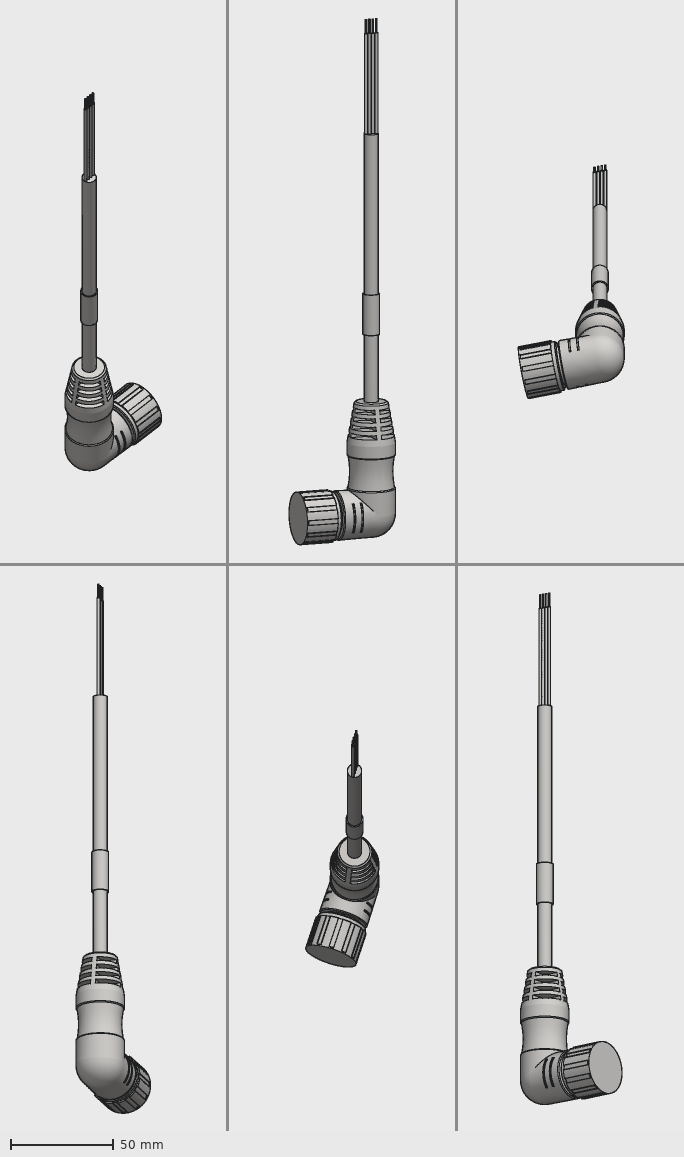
import cadquery as cq


ELBOW_RADIUS = 12.0
ELBOW_END_Y = 18.5
ELBOW_END_RADIUS = 12.2
ELBOW_END_CHAMFER = 0.5
NECK_RADIUS = 9.3

SIDE_GROOVE_POSITIONS_Y = (8.8, 13.0)
SIDE_GROOVE_WIDTH = 0.8
SIDE_GROOVE_FLOOR_RADIUS = 11.7
SIDE_GROOVE_HEIGHT = 14.5

WAIST_BOTTOM_Z = 12.5
WAIST_TOP_Z = 29.3
WAIST_RADIUS = 10.5
WAIST_EDGE_RADIUS = 11.5
WAIST_EDGE_HEIGHT = 0.5
CONE_BOTTOM_Z = 35.2
CONE_TOP_Z = 55.7
CONE_TOP_RADIUS = 8.3
CONE_CHAMFER = 0.8

SLOT_COUNT = 4
LOWEST_SLOT_Z = 38.5
HIGHEST_SLOT_Z = 50.8
SLOT_PITCH = (HIGHEST_SLOT_Z - LOWEST_SLOT_Z) / (SLOT_COUNT - 1)
SLOT_HEIGHT = 2.0
CROSS_RIB_WIDTH = 2.5

CABLE_DIAMETER = 7.0
CABLE_RADIUS = CABLE_DIAMETER / 2
CABLE_END_Z = 189.0
SLEEVE_RADIUS = 4.1
SLEEVE_BOTTOM_Z = 89.0
SLEEVE_TOP_Z = 109.3
WIRE_COUNT = 4
WIRE_PITCH = 1.8
WIRE_RADIUS = 0.8
WIRE_END_Z = 239.0
CONDUCTOR_RADIUS = 0.4
CONDUCTOR_END_Z = 246.0

NUT_BACK_Y = 19.7
NUT_GRIP_Y = 22.0
NUT_FRONT_Y = 38.0
NUT_RADIUS = 13.0
NUT_RING_RADIUS = 12.2
NUT_CHAMFER = 0.5
FLUTE_COUNT = 12
FLUTE_WIDTH = 2.3
FLUTE_DEPTH = 0.5
FLUTE_END_GAP = 0.8


def cylinder_z(radius, bottom, top, y=0):
    """Upright cylinder centred on X = 0."""
    return cq.Workplane("XY", origin=(0, y, bottom)).circle(radius).extrude(top - bottom)


def cylinder_y(radius, start, end):
    """Cylinder on the Y axis from start to end."""
    return cq.Workplane("XZ", origin=(0, start, 0)).circle(radius).extrude(start - end)


def cone_radius(z):
    """Outer radius of the strain relief at height z."""
    share = (z - CONE_BOTTOM_Z) / (CONE_TOP_Z - CONE_BOTTOM_Z)
    return ELBOW_RADIUS + share * (CONE_TOP_RADIUS - ELBOW_RADIUS)


def make_elbow_arm():
    """Arm of the elbow towards the nut, widening slightly up to its chamfered end."""
    return (
        cq.Workplane("XY")
        .lineTo(ELBOW_RADIUS, 0)
        .lineTo(ELBOW_END_RADIUS, ELBOW_END_Y - ELBOW_END_CHAMFER)
        .lineTo(ELBOW_END_RADIUS - ELBOW_END_CHAMFER, ELBOW_END_Y)
        .lineTo(0, ELBOW_END_Y)
        .close()
        .revolve(360, (0, 0), (0, 1))
    )


def make_grip():
    """Upright part of the housing: plain elbow end, concave waist, band and tapered strain relief."""
    waist_middle_z = (WAIST_BOTTOM_Z + WAIST_TOP_Z) / 2
    chamfer_z = CONE_TOP_Z - CONE_CHAMFER
    return (
        cq.Workplane("YZ")
        .lineTo(-ELBOW_RADIUS, 0)
        .lineTo(-ELBOW_RADIUS, WAIST_BOTTOM_Z)
        .lineTo(-WAIST_EDGE_RADIUS, WAIST_BOTTOM_Z + WAIST_EDGE_HEIGHT)
        .threePointArc(
            (-WAIST_RADIUS, waist_middle_z),
            (-WAIST_EDGE_RADIUS, WAIST_TOP_Z - WAIST_EDGE_HEIGHT),
        )
        .lineTo(-ELBOW_RADIUS, WAIST_TOP_Z)
        .lineTo(-ELBOW_RADIUS, CONE_BOTTOM_Z)
        .lineTo(-cone_radius(chamfer_z), chamfer_z)
        .lineTo(CONE_CHAMFER - CONE_TOP_RADIUS, CONE_TOP_Z)
        .lineTo(0, CONE_TOP_Z)
        .close()
        .revolve(360, (0, 0), (0, 1))
    )


def make_slot(bottom):
    """Quarter slots at one height: a ring around the strain relief, interrupted by the cross ribs."""
    ring = (
        cq.Workplane("XY", origin=(0, 0, bottom))
        .circle(2 * ELBOW_RADIUS)
        .circle(CABLE_RADIUS)
        .extrude(SLOT_HEIGHT)
    )
    rib_length = 4 * ELBOW_RADIUS
    base = cq.Workplane("XY", origin=(0, 0, bottom))
    rib_along_x = base.rect(rib_length, CROSS_RIB_WIDTH).extrude(SLOT_HEIGHT)
    rib_along_y = base.rect(CROSS_RIB_WIDTH, rib_length).extrude(SLOT_HEIGHT)
    return ring.cut(rib_along_x).cut(rib_along_y)


def make_cable():
    """Cable jacket with its label sleeve, and a row of wires with bare conductor ends."""
    cable = cylinder_z(CABLE_RADIUS, CONE_TOP_Z, CABLE_END_Z)
    cable = cable.union(cylinder_z(SLEEVE_RADIUS, SLEEVE_BOTTOM_Z, SLEEVE_TOP_Z))
    for index in range(WIRE_COUNT):
        wire_y = (index - (WIRE_COUNT - 1) / 2) * WIRE_PITCH
        cable = cable.union(cylinder_z(WIRE_RADIUS, CABLE_END_Z, WIRE_END_Z, wire_y))
        cable = cable.union(cylinder_z(CONDUCTOR_RADIUS, WIRE_END_Z, CONDUCTOR_END_Z, wire_y))
    return cable


def make_side_grooves(position_y):
    """Pair of groove arcs at one place along the elbow, one on each side of the nut axis."""
    start_y = position_y - SIDE_GROOVE_WIDTH / 2
    end_y = position_y + SIDE_GROOVE_WIDTH / 2
    core = cylinder_y(SIDE_GROOVE_FLOOR_RADIUS, start_y, end_y)
    band_length = 4 * ELBOW_RADIUS
    band = cq.Workplane("XY").box(band_length, SIDE_GROOVE_WIDTH, SIDE_GROOVE_HEIGHT)
    return band.translate((0, position_y, 0)).cut(core)


def make_housing():
    """Right-angle housing moulded onto the cable, with the neck that carries the nut."""
    grip = make_grip()
    for index in range(SLOT_COUNT):
        grip = grip.cut(make_slot(LOWEST_SLOT_Z + index * SLOT_PITCH))
    housing = (
        cq.Workplane("XY")
        .sphere(ELBOW_RADIUS)
        .union(make_elbow_arm())
        .union(grip)
        .union(cylinder_y(NECK_RADIUS, 0, NUT_BACK_Y))
        .union(make_cable())
    )
    for position_y in SIDE_GROOVE_POSITIONS_Y:
        housing = housing.cut(make_side_grooves(position_y))
    return housing


def make_nut():
    """Coupling nut: fluted grip with a plain ring at the back."""
    ring = cylinder_y(NUT_RING_RADIUS, NUT_BACK_Y, NUT_GRIP_Y).faces("<Y").chamfer(NUT_CHAMFER)
    nut = cylinder_y(NUT_RADIUS, NUT_GRIP_Y, NUT_FRONT_Y).union(ring)
    flute_length = NUT_FRONT_Y - FLUTE_END_GAP - NUT_GRIP_Y
    flute = (
        cq.Workplane("XY", origin=(0, NUT_GRIP_Y + flute_length / 2, NUT_RADIUS - FLUTE_DEPTH))
        .rect(FLUTE_WIDTH, flute_length)
        .extrude(2 * FLUTE_DEPTH)
    )
    for index in range(FLUTE_COUNT):
        nut = nut.cut(flute.rotate((0, 0, 0), (0, 1, 0), index * 360 / FLUTE_COUNT))
    return nut


housing = make_housing()
nut = make_nut()
result = cq.Compound.makeCompound([housing.solids().val(), nut.solids().val()])